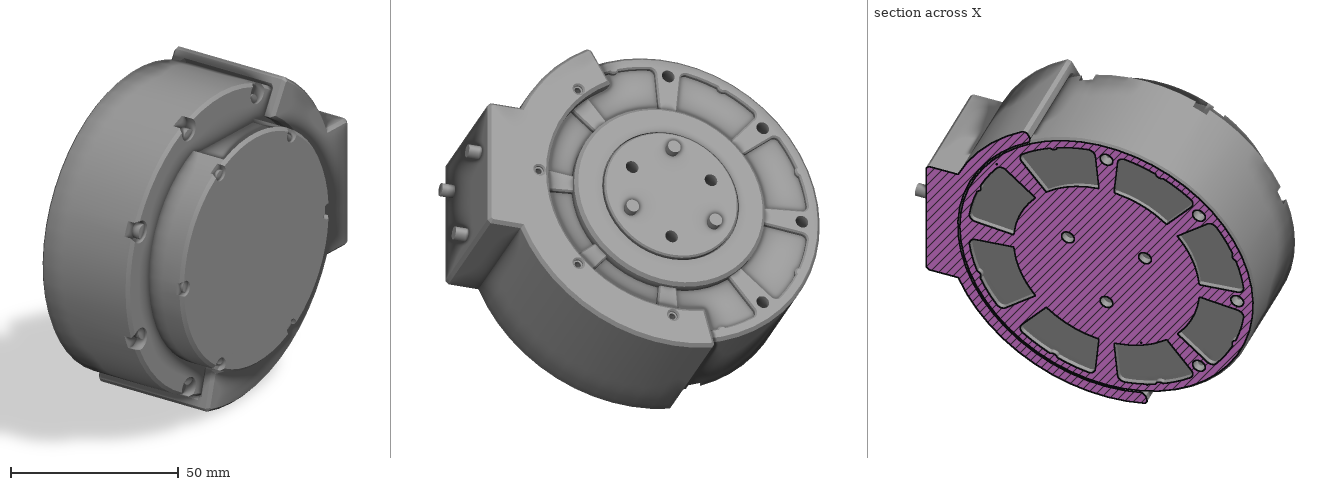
import cadquery as cq
import math

EDGE = 1.0
FINE_EDGE = 0.5
TOLERANCE = 0.001

BODY_R = 48.0
BODY_LENGTH = 32.2
BODY_HOLE_D = 4.0
BODY_HOLE_DEPTH = 5.5
MOUNT_R = 42.0
EXPOSED_HOLE_ANGLES = (90, 135, 180, 225)

RING_D = 60.0
RING_HEIGHT = 2.1
HUB_D = 42.0
HUB_GROOVE_D = 43.0
HUB_HEIGHT = 1.0
HUB_GROOVE_DEPTH = 1.0
HUB_FACE_X = -(RING_HEIGHT + HUB_HEIGHT)
PIN_D = 4.0
PIN_HEIGHT = 2.6
PIN_CIRCLE_R = 15.1
HOLE_CIRCLE_R = 14.3
HUB_HOLE_DEPTH = 5.5

POCKET_COUNT = 8
POCKET_STEP = 360 / POCKET_COUNT
POCKET_R = 44.1
POCKET_DEPTH = 1.5
POCKET_INNER_R = 27.8
SPOKE_HALF_ANGLE = 5.3
POCKET_FILLET = 1.8

BODY_NOTCH_R = 45.3
BODY_NOTCH_D = 7.0
BODY_NOTCH_DEPTH = 3.4
BUMP_D = 3.7

COVER_R = 37.5
COVER_LENGTH = 12.2
COVER_REAR_X = BODY_LENGTH + COVER_LENGTH
COVER_SLOT_WIDTH = 30.1
COVER_SLOT_FLOOR_Z = 33
COVER_NOTCH_R = 36.0
COVER_NOTCH_D = 5.0
COVER_NOTCH_DEPTH = 2.0
COVER_NOTCH_COUNT = 6
COVER_SCREW_R = 33.3

SCREW_HEAD_D = 5.0
SCREW_HEAD_RECESS = 1.0

BRACKET_FRONT_X = -4.7
BRACKET_LENGTH = 41.0
BRACKET_MIDDLE_X = BRACKET_FRONT_X + BRACKET_LENGTH / 2
BRACKET_R = 51.9
BRACKET_INNER_R = 39.0
BRACKET_START = -105
BRACKET_END = 60
BLOCK_Y = 58.1
BLOCK_WIDTH = BRACKET_LENGTH
BRACKET_SCREW_ANGLES = (-90, -45, 0, 45)
BRACKET_HOLE_D = 3.0
BRACKET_HOLE_DEPTH = 1.0
COUNTERSINK_D = 4.0
PILOT_D = 2.0
PILOT_DEPTH = 2.0
BLOCK_PIN_HEIGHT = 4.0


def at_angle(radius, angle):
    """Point (y, z) on a circle about the motor axis, with the angle in degrees from +Y."""
    return (radius * math.cos(math.radians(angle)), radius * math.sin(math.radians(angle)))


def disc(x, radius, length, points=((0, 0),)):
    """Cylinders along X, starting at x, one at each (y, z) point."""
    return cq.Workplane("YZ", origin=(x, 0, 0)).pushPoints(list(points)).circle(radius).extrude(length)


def ring_points(radius, angles):
    return [at_angle(radius, angle) for angle in angles]


def even_angles(count, start=0.0):
    return [start + 360 / count * i for i in range(count)]


BODY_NOTCH_ANGLES = even_angles(POCKET_COUNT, POCKET_STEP / 2)


def make_pocket():
    """Pocket centred on +Y, bounded by two spokes, with rounded outer corners."""
    half_angle = POCKET_STEP / 2 - SPOKE_HALF_ANGLE
    return (
        cq.Workplane("YZ")
        .moveTo(*at_angle(POCKET_INNER_R, -half_angle))
        .lineTo(*at_angle(POCKET_R, -half_angle))
        .threePointArc((POCKET_R, 0), at_angle(POCKET_R, half_angle))
        .lineTo(*at_angle(POCKET_INNER_R, half_angle))
        .threePointArc((POCKET_INNER_R, 0), at_angle(POCKET_INNER_R, -half_angle))
        .close()
        .extrude(POCKET_DEPTH)
        .edges("|X").edges(">Y")
        .fillet(POCKET_FILLET)
    )


def make_body():
    body = disc(0, BODY_R, BODY_LENGTH).edges().chamfer(EDGE)
    bumps = disc(0, BUMP_D / 2, POCKET_DEPTH, ring_points(BODY_NOTCH_R, BODY_NOTCH_ANGLES))
    pocket = make_pocket()
    for angle in BODY_NOTCH_ANGLES:
        body = body.cut(pocket.rotate((0, 0, 0), (1, 0, 0), angle).cut(bumps))
    pocket_edges = [edge for wire in body.faces("<X").val().innerWires() for edge in wire.Edges()]
    body = cq.Workplane(body.val().chamfer(FINE_EDGE, None, pocket_edges))
    mount_points = ring_points(MOUNT_R, EXPOSED_HOLE_ANGLES)
    return body.cut(disc(0, BODY_HOLE_D / 2, BODY_HOLE_DEPTH, mount_points))


def make_ring():
    ring = disc(-RING_HEIGHT, RING_D / 2, RING_HEIGHT + POCKET_DEPTH).faces("<X").edges().chamfer(EDGE)
    return ring.cut(disc(-RING_HEIGHT, HUB_GROOVE_D / 2, HUB_GROOVE_DEPTH))


def make_hub():
    hub = disc(HUB_FACE_X, HUB_D / 2, HUB_HEIGHT + HUB_GROOVE_DEPTH)
    return hub.faces("<X").edges().chamfer(FINE_EDGE)


def rim_notches(rear_x, depth, diameter, notch_points, head_points):
    """Notches sunk from rear_x, leaving the screw heads standing on their floors."""
    floor_x = rear_x - depth
    heads = disc(floor_x, SCREW_HEAD_D / 2, depth - SCREW_HEAD_RECESS, head_points)
    return disc(floor_x, diameter / 2, depth, notch_points).cut(heads)


def make_body_notches():
    notch_points = ring_points(BODY_NOTCH_R, BODY_NOTCH_ANGLES)
    head_points = ring_points(MOUNT_R, BODY_NOTCH_ANGLES)
    return rim_notches(BODY_LENGTH, BODY_NOTCH_DEPTH, BODY_NOTCH_D, notch_points, head_points)


def make_cover():
    cover = disc(BODY_LENGTH, COVER_R, COVER_LENGTH).faces(">X").edges().chamfer(EDGE)
    slot = cq.Workplane("XY", origin=(BODY_LENGTH, 0, COVER_SLOT_FLOOR_Z)).box(
        COVER_LENGTH - EDGE, COVER_SLOT_WIDTH, COVER_R, centered=(False, True, False)
    )
    angles = even_angles(COVER_NOTCH_COUNT)
    notch_points = ring_points(COVER_NOTCH_R, angles)
    head_points = ring_points(COVER_SCREW_R, angles)
    notches = rim_notches(COVER_REAR_X, COVER_NOTCH_DEPTH, COVER_NOTCH_D, notch_points, head_points)
    return cover.cut(slot).cut(notches)


def make_bracket():
    middle = (BRACKET_START + BRACKET_END) / 2
    arm = (
        cq.Workplane("YZ", origin=(BRACKET_FRONT_X, 0, 0))
        .moveTo(*at_angle(BRACKET_INNER_R, BRACKET_START))
        .lineTo(*at_angle(BRACKET_R, BRACKET_START))
        .threePointArc(at_angle(BRACKET_R, middle), at_angle(BRACKET_R, BRACKET_END))
        .lineTo(*at_angle(BRACKET_INNER_R, BRACKET_END))
        .threePointArc(at_angle(BRACKET_INNER_R, middle), at_angle(BRACKET_INNER_R, BRACKET_START))
        .close()
        .extrude(BRACKET_LENGTH)
    )
    block = (
        cq.Workplane("YZ", origin=(BRACKET_FRONT_X, (MOUNT_R + BLOCK_Y) / 2, 0))
        .rect(BLOCK_Y - MOUNT_R, BLOCK_WIDTH)
        .extrude(BRACKET_LENGTH)
        .edges("|X").edges(">Y")
        .chamfer(EDGE)
    )
    for angle in (BRACKET_START, BRACKET_END):
        tip = (BRACKET_MIDDLE_X,) + at_angle(BRACKET_R, angle)
        arm = arm.edges(cq.selectors.NearestToPointSelector(tip)).chamfer(EDGE)
    bracket = arm.union(block).faces("<X or >X").edges().chamfer(EDGE)
    bracket = bracket.cut(disc(0, BODY_R, BODY_LENGTH).edges().chamfer(FINE_EDGE))
    mouth_edges = []
    for angle in (BRACKET_START, BRACKET_END):
        mouth_edges += channel_mouth_edges(bracket, angle)
    return cq.Workplane(bracket.val().chamfer(EDGE, None, mouth_edges))


def channel_mouth_edges(bracket, angle):
    """Edges of the arm end at the given angle that border the channel for the body."""
    normal = cq.Vector(0, *at_angle(1, angle + 90))
    edges = []
    for edge in bracket.edges().vals():
        middle = edge.positionAt(0.5)
        in_end_plane = max(abs(point.dot(normal)) for point in (middle, edge.startPoint())) < TOLERANCE
        in_channel_length = -TOLERANCE < middle.x < BODY_LENGTH + TOLERANCE
        in_channel_radius = math.hypot(middle.y, middle.z) < BODY_R + TOLERANCE
        if in_end_plane and in_channel_length and in_channel_radius:
            edges.append(edge)
    return edges


def screw_hole():
    """Countersunk hole with a stepped, pointed bottom, starting at x = 0 on the X axis."""
    pilot_end = BRACKET_HOLE_DEPTH + PILOT_DEPTH
    return (
        cq.Workplane("XY")
        .lineTo(0, COUNTERSINK_D / 2)
        .lineTo((COUNTERSINK_D - BRACKET_HOLE_D) / 2, BRACKET_HOLE_D / 2)
        .lineTo(BRACKET_HOLE_DEPTH, BRACKET_HOLE_D / 2)
        .lineTo(BRACKET_HOLE_DEPTH, PILOT_D / 2)
        .lineTo(pilot_end - PILOT_D / 2, PILOT_D / 2)
        .lineTo(pilot_end, 0)
        .close()
        .revolve(360, (0, 0, 0), (1, 0, 0))
    )


def triangle(radius, start):
    return ring_points(radius, even_angles(3, start))


bracket = make_bracket()
for y, z in ring_points(MOUNT_R, BRACKET_SCREW_ANGLES):
    bracket = bracket.cut(screw_hole().translate((BRACKET_FRONT_X, y, z)))

block_pins = (
    cq.Workplane("XZ", origin=(BRACKET_MIDDLE_X, BLOCK_Y, 0))
    .pushPoints(triangle(HOLE_CIRCLE_R, 30))
    .circle(PIN_D / 2)
    .extrude(-BLOCK_PIN_HEIGHT)
)

result = (
    make_body()
    .union(make_ring())
    .union(make_hub())
    .union(disc(HUB_FACE_X - PIN_HEIGHT, PIN_D / 2, PIN_HEIGHT, triangle(PIN_CIRCLE_R, 90)))
    .cut(disc(HUB_FACE_X, PIN_D / 2, HUB_HOLE_DEPTH, triangle(HOLE_CIRCLE_R, 30)))
    .cut(make_body_notches())
    .union(make_cover())
    .union(bracket)
    .union(block_pins)
)